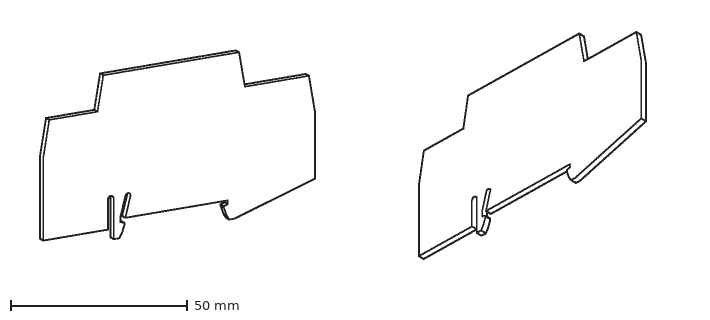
import cadquery as cq
import math


thickness = 2.0
length = 87.65
height = 49.6
shoulder_height = 39.0
taper = math.tan(math.radians(10))
end_taper_height = 11.1
hook_side_step = 22.6
latch_side_step = 17.5

hook_end_bottom = 7.9
latch_end_bottom = 3.15
hook_foot_start = 26.0

rail_center = 45.4
rail_seat_height = 5.8
recess_half_width = 17.3
jaw_undercut_height = 4.75
jaw_tip_reach = 1.35
jaw_tip_height = 4.0
jaw_bend_reach = 0.5
jaw_bend_height = 1.55
jaw_foot_reach = -0.4
jaw_nose_height = 4.3

slot_top = 13.05
latch_arm_back = 64.9
back_slot_width = 1.8
front_slot_width = 1.6
front_slot_mouth = 61.2
front_slot_angle = math.radians(15)


plate_plane = cq.Plane(
    origin=(thickness / 2, length / 2, -height / 2),
    xDir=(0, -1, 0),
    normal=(-1, 0, 0),
)


def jaw_points(side):
    """Jaw outline from foot to recess wall; side is -1 for the hook, +1 for the latch."""
    profile = [
        (jaw_foot_reach, 0),
        (jaw_bend_reach, jaw_bend_height),
        (jaw_tip_reach, jaw_tip_height),
        (jaw_tip_reach, jaw_nose_height),
        (0, jaw_undercut_height),
    ]
    return [(rail_center + side * (recess_half_width - reach), up) for reach, up in profile]


def body_outline():
    """Plate outline with the rail recess, before the latch slots are cut."""
    end_inset = end_taper_height * taper
    step_inset = (height - shoulder_height) * taper
    latch_step = length - latch_side_step
    end_taper_start = shoulder_height - end_taper_height
    recess_start = rail_center - recess_half_width
    recess_end = rail_center + recess_half_width
    upper_edge = [
        (0, hook_end_bottom),
        (0, end_taper_start),
        (end_inset, shoulder_height),
        (hook_side_step, shoulder_height),
        (hook_side_step + step_inset, height),
        (latch_step - step_inset, height),
        (latch_step, shoulder_height),
        (length - end_inset, shoulder_height),
        (length, end_taper_start),
        (length, latch_end_bottom),
    ]
    latch_edge = [
        (latch_arm_back, latch_end_bottom),
        (latch_arm_back, 0),
        *jaw_points(1),
        (recess_end, rail_seat_height),
    ]
    hook_edge = [
        (recess_start, rail_seat_height),
        *reversed(jaw_points(-1)),
        (hook_foot_start, 0),
    ]
    return upper_edge + latch_edge + hook_edge


def extrude_plate(sketch):
    """Close an outline and extrude it through the full plate thickness."""
    return sketch.close().extrude(thickness)


def back_slot():
    """Upright round-ended slot behind the latch arm."""
    radius = back_slot_width / 2
    center = latch_arm_back + radius
    sketch = (
        cq.Workplane(plate_plane)
        .moveTo(latch_arm_back, 0)
        .lineTo(latch_arm_back, slot_top - radius)
        .threePointArc((center, slot_top), (center + radius, slot_top - radius))
        .lineTo(center + radius, 0)
    )
    return extrude_plate(sketch)


def front_slot():
    """Round-ended slot leaning towards the hook, in front of the latch arm."""
    radius = front_slot_width / 2
    lean = math.tan(front_slot_angle)
    cos_lean = math.cos(front_slot_angle)
    sin_lean = math.sin(front_slot_angle)
    center_up = slot_top - radius
    mouth_center = front_slot_mouth + radius / cos_lean
    center = mouth_center - (center_up - rail_seat_height) * lean
    recess_end = rail_center + recess_half_width
    mouth_end = front_slot_mouth + front_slot_width / cos_lean
    wall_meet = rail_seat_height + (mouth_end - recess_end) / lean
    sketch = (
        cq.Workplane(plate_plane)
        .moveTo(front_slot_mouth, rail_seat_height)
        .lineTo(center - radius * cos_lean, center_up - radius * sin_lean)
        .threePointArc(
            (center - radius * sin_lean, center_up + radius * cos_lean),
            (center + radius * cos_lean, center_up + radius * sin_lean),
        )
        .lineTo(recess_end, wall_meet)
        .lineTo(recess_end, rail_seat_height)
    )
    return extrude_plate(sketch)


plate = extrude_plate(cq.Workplane(plate_plane).polyline(body_outline()))
result = plate.cut(back_slot()).cut(front_slot())